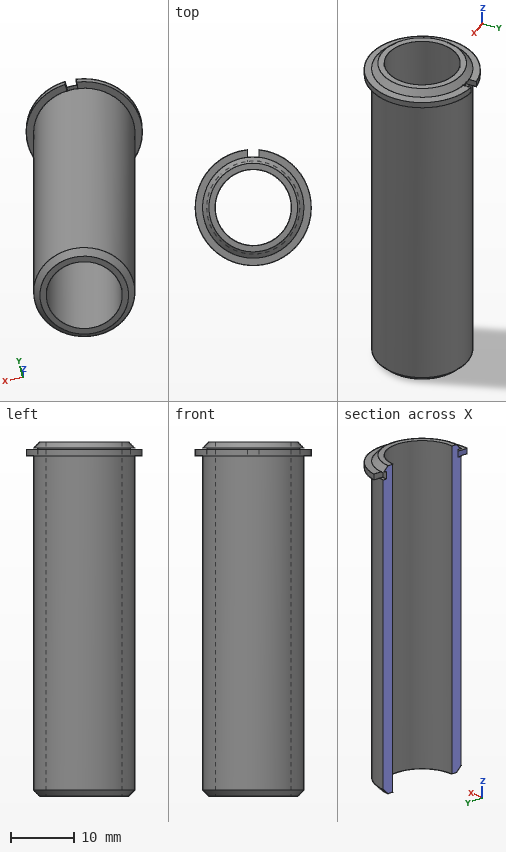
import cadquery as cq

sleeve_length = 56.0
sleeve_radius = 16.0 / 2
bore_radius = 12.0 / 2
end_chamfer = 1.0

groove_radius = 14.7 / 2
groove_width = 1.2
groove_top = sleeve_length - end_chamfer
groove_bottom = groove_top - groove_width

ring_radius = 18.35 / 2
ring_thickness = 1.0
ring_gap = 1.8


def make_sleeve():
    """Tube along Z with its base on Z = 0, revolved from its half section."""
    chamfered_radius = sleeve_radius - end_chamfer
    half_section = [
        (bore_radius, 0),
        (chamfered_radius, 0),
        (sleeve_radius, end_chamfer),
        (sleeve_radius, groove_bottom),
        (groove_radius, groove_bottom),
        (groove_radius, groove_top),
        (sleeve_radius, groove_top),
        (chamfered_radius, sleeve_length),
        (bore_radius, sleeve_length),
    ]
    return cq.Workplane("XZ").polyline(half_section).close().revolve(360, (0, 0), (0, 1))


def make_snap_ring():
    """Flat ring seated in the groove, split by a parallel gap facing +Y."""
    ring = (
        cq.Workplane("XY")
        .workplane(offset=groove_bottom)
        .circle(ring_radius)
        .circle(groove_radius)
        .extrude(ring_thickness)
    )
    gap = (
        cq.Workplane("XY")
        .workplane(offset=groove_bottom)
        .center(0, ring_radius / 2)
        .rect(ring_gap, ring_radius)
        .extrude(ring_thickness)
    )
    return ring.cut(gap)


sleeve = make_sleeve()
snap_ring = make_snap_ring()

result = cq.Compound.makeCompound([sleeve.val(), snap_ring.val()])